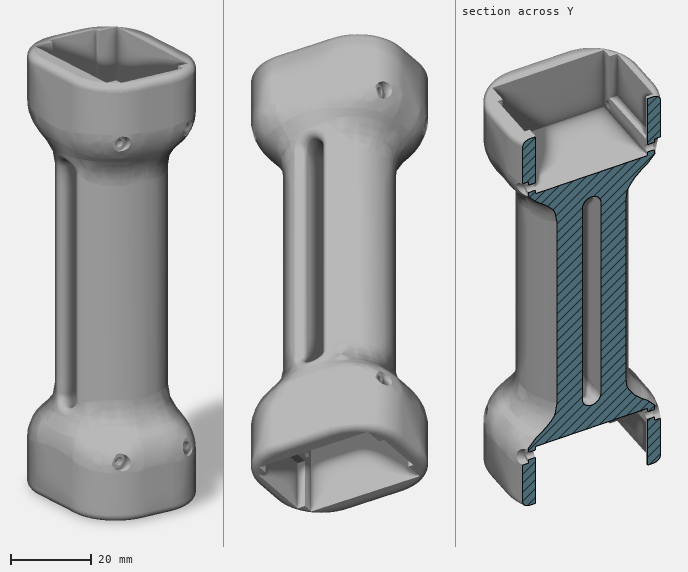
import cadquery as cq

LENGTH = 116.0
HEAD_WIDTH = 42.0
HEAD_DEPTH = 34.5
HEAD_CORNER_RADIUS = 13.0
RIM_FILLET = 2.0

GRIP_DIAMETER = 28.1

SHOULDER_START = 17.5
SHOULDER_END = 25.2
SHOULDER_FILLET = 10.4

SLOT_WIDTH = 5.1
SLOT_END_GAP = 25.2
SLOT_EDGE_FILLET = 2.0

POCKET_WIDTH = 31.7
POCKET_DEPTH = 24.6
POCKET_HEIGHT = 18.0
DEEP_RECESS_REACH = 17.3
DEEP_RECESS_WIDTH = 13.9
SHALLOW_RECESS_REACH = 18.0
SHALLOW_RECESS_WIDTH = 18.6
SHALLOW_RECESS_HEIGHT = 13.2

SCREW_DIAMETER = 2.2
SCREW_SPACING = 20.1
SCREW_END_GAP = 15.8
SCREW_SEAT_DIAMETER = 4.3
SCREW_SEAT_REACH = 18.0

HALF_LENGTH = LENGTH / 2

SELECTION_MARGIN = 0.6


def both_ends(upper):
    """The upper-end solid together with its mirror image at the lower end."""
    return upper.union(upper.mirror("XY"))


def fillet_joint(body, height):
    """Round the ring of edges around the body at the given height."""
    ring = cq.selectors.BoxSelector(
        (-HEAD_WIDTH, -HEAD_WIDTH, height - SELECTION_MARGIN),
        (HEAD_WIDTH, HEAD_WIDTH, height + SELECTION_MARGIN),
    )
    return body.edges(ring).fillet(SHOULDER_FILLET)


def upper_half():
    """Head, tapered shoulder and half of the grip, without openings."""
    shoulder_top = HALF_LENGTH - SHOULDER_START
    shoulder_bottom = HALF_LENGTH - SHOULDER_END
    grip_outline = cq.Sketch().circle(GRIP_DIAMETER / 2)
    head_outline = cq.Sketch().rect(HEAD_WIDTH, HEAD_DEPTH).vertices().fillet(HEAD_CORNER_RADIUS)
    grip = cq.Workplane().placeSketch(grip_outline).extrude(shoulder_bottom)
    shoulder = cq.Workplane().placeSketch(
        grip_outline.moved(cq.Location((0, 0, shoulder_bottom))),
        head_outline.moved(cq.Location((0, 0, shoulder_top))),
    ).loft(ruled=True)
    head = cq.Workplane(origin=(0, 0, shoulder_top)).placeSketch(head_outline).extrude(SHOULDER_START)
    body = grip.union(shoulder).union(head)
    body = fillet_joint(body, shoulder_bottom)
    body = fillet_joint(body, shoulder_top)
    return body.faces(">Z").edges().fillet(RIM_FILLET)


def cut_slot(body):
    """Round-ended slot along Y with rounded mouth edges."""
    slot_length = LENGTH - 2 * SLOT_END_GAP
    slot = cq.Workplane("XZ").slot2D(slot_length, SLOT_WIDTH, 90).extrude(HEAD_DEPTH, both=True)
    reach_x = SLOT_WIDTH / 2 + SELECTION_MARGIN
    reach_z = slot_length / 2 + SELECTION_MARGIN
    slot_region = cq.selectors.BoxSelector(
        (-reach_x, -HEAD_DEPTH, -reach_z),
        (reach_x, HEAD_DEPTH, reach_z),
        boundingbox=True,
    )
    mouth_edges = body.cut(slot).edges(slot_region).edges("not |Y")
    return mouth_edges.fillet(SLOT_EDGE_FILLET)


def block(x_min, x_max, width, depth):
    """Box sunk into the upper end face, centred on Y."""
    floor = cq.Workplane(origin=((x_min + x_max) / 2, 0, HALF_LENGTH - depth))
    return floor.rect(x_max - x_min, width).extrude(depth)


def head_pocket():
    """Rectangular pocket, its -X recess down to the floor and its shallower +X recess."""
    pocket = block(-POCKET_WIDTH / 2, POCKET_WIDTH / 2, POCKET_DEPTH, POCKET_HEIGHT)
    deep_recess = block(-DEEP_RECESS_REACH, 0, DEEP_RECESS_WIDTH, POCKET_HEIGHT)
    shallow_recess = block(0, SHALLOW_RECESS_REACH, SHALLOW_RECESS_WIDTH, SHALLOW_RECESS_HEIGHT)
    return pocket.union(deep_recess).union(shallow_recess)


def head_screws():
    """Screw holes along X with a flat seat on each outer side."""
    height = HALF_LENGTH - SCREW_END_GAP
    cutter = cq.Workplane()
    for y in (-SCREW_SPACING / 2, SCREW_SPACING / 2):
        hole = cq.Workplane("YZ").center(y, height).circle(SCREW_DIAMETER / 2)
        cutter = cutter.add(hole.extrude(HEAD_WIDTH, both=True))
        for side in (-1, 1):
            seat = cq.Workplane("YZ", origin=(side * SCREW_SEAT_REACH, y, height))
            cutter = cutter.add(seat.circle(SCREW_SEAT_DIAMETER / 2).extrude(side * HEAD_WIDTH))
    return cutter.combine()


result = cut_slot(both_ends(upper_half()))
result = result.cut(both_ends(head_pocket())).cut(both_ends(head_screws()))